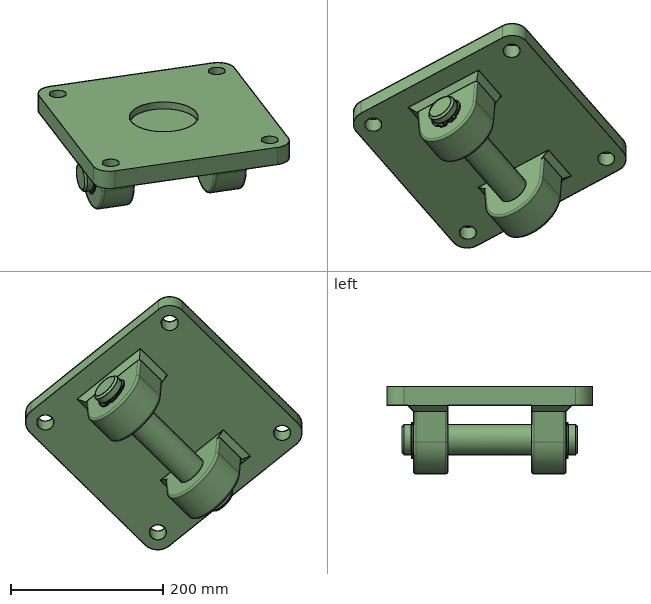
import cadquery as cq
import math

PLATE_SIDE = 270
PLATE_THICKNESS = 25.0
CORNER_RADIUS = 22.5
BOLT_HOLE_DIAMETER = 22.1
BOLT_HOLE_PITCH = 220.0
RECESS_DIAMETER = 90.0
RECESS_DEPTH = 10.0

PIN_DROP = 44.8
LUG_RADIUS = 45.0
LUG_TOP_HALF_WIDTH = 48.0
LUG_SPAN = 200.0
LUG_THICKNESS = 45.0
LUG_FILLET = 3.0
WELD_LEG = 7.8

PIN_DIAMETER = 40.0
PIN_LENGTH = 230.5
PIN_CHAMFER = 3.0

RING_CLEARANCE = 0.8
RING_THICKNESS = 1.75
RING_OUTER_DIAMETER = 44.3
GROOVE_DIAMETER = 37.5
GROOVE_WIDTH = 2.5
EAR_OUTER_RADIUS = 24.5
EAR_HALF_ANGLE = 31
GAP_HALF_ANGLE = 7
GAP_DIRECTION = -100
EAR_HOLE_DIAMETER = 2.2
EAR_HOLE_RADIUS = 21.5
EAR_HOLE_ANGLE = 18.5

LUG_OUTER_Y = LUG_SPAN / 2
LUG_INNER_Y = LUG_OUTER_Y - LUG_THICKNESS
RING_INNER_Y = LUG_OUTER_Y + RING_CLEARANCE
SIDES = (-1, 1)


def make_plate():
    """Square plate with rounded corners, four bolt holes and a round blind recess on top."""
    plate = (
        cq.Workplane("XY")
        .rect(PLATE_SIDE, PLATE_SIDE)
        .extrude(PLATE_THICKNESS)
        .edges("|Z")
        .fillet(CORNER_RADIUS)
    )
    plate = (
        plate.faces(">Z")
        .workplane()
        .rect(BOLT_HOLE_PITCH, BOLT_HOLE_PITCH, forConstruction=True)
        .vertices()
        .hole(BOLT_HOLE_DIAMETER)
    )
    return plate.faces(">Z").workplane().hole(RECESS_DIAMETER, RECESS_DEPTH)


def lug_tangent_angle():
    """Angle below horizontal at which the lug's tapered flank meets its round end."""
    top_corner_distance = math.hypot(LUG_TOP_HALF_WIDTH, PIN_DROP)
    top_corner_elevation = math.atan2(PIN_DROP, LUG_TOP_HALF_WIDTH)
    return math.acos(LUG_RADIUS / top_corner_distance) - top_corner_elevation


def make_lug():
    """Lug on the +Y side: tapered flanks tangent to a round end, with rounded rims."""
    angle = lug_tangent_angle()
    tangent_x = LUG_RADIUS * math.cos(angle)
    tangent_z = -PIN_DROP - LUG_RADIUS * math.sin(angle)
    lug = (
        cq.Workplane("XZ", origin=(0, LUG_OUTER_Y, 0))
        .moveTo(-LUG_TOP_HALF_WIDTH, 0)
        .lineTo(-tangent_x, tangent_z)
        .threePointArc((0, -PIN_DROP - LUG_RADIUS), (tangent_x, tangent_z))
        .lineTo(LUG_TOP_HALF_WIDTH, 0)
        .close()
        .extrude(LUG_THICKNESS)
    )
    rims = lug.faces("<Y or >Y").edges("not >Z")
    return rims.fillet(LUG_FILLET)


def make_weld():
    """Sloping weld bead round the outer face and both flanks of the +Y lug.

    The slopes leave the lug's faces one leg below the plate and run on inside the lug as far as
    the rounded rims, so that they also close off the tops of those rims.
    """
    height = WELD_LEG + LUG_FILLET
    flank_taper = (LUG_TOP_HALF_WIDTH - LUG_RADIUS) / PIN_DROP
    upper_half_width = LUG_TOP_HALF_WIDTH + WELD_LEG
    lower_half_width = upper_half_width - (1 + flank_taper) * height
    upper_depth = LUG_THICKNESS + WELD_LEG
    lower_depth = upper_depth - height
    return (
        cq.Workplane("XY", origin=(0, LUG_INNER_Y, 0))
        .center(0, upper_depth / 2)
        .rect(2 * upper_half_width, upper_depth)
        .workplane(offset=-height)
        .center(0, -height / 2)
        .rect(2 * lower_half_width, lower_depth)
        .loft(ruled=True)
    )


def y_cylinder(diameter, start_y, length):
    """Cylinder on the pin axis, from start_y towards +Y."""
    return cq.Workplane("XZ", origin=(0, start_y, -PIN_DROP)).circle(diameter / 2).extrude(-length)


def make_bracket():
    """Plate with both welded lugs, bored for the pin."""
    lug = make_lug().union(make_weld())
    bracket = make_plate().union(lug).union(lug.mirror("XZ"))
    return bracket.cut(y_cylinder(PIN_DIAMETER, -LUG_OUTER_Y, LUG_SPAN))


def make_pin():
    """Pin with chamfered ends and a groove for each retaining ring."""
    pin = y_cylinder(PIN_DIAMETER, -PIN_LENGTH / 2, PIN_LENGTH).faces("<Y or >Y").chamfer(PIN_CHAMFER)
    groove = y_cylinder(PIN_DIAMETER, RING_INNER_Y, GROOVE_WIDTH).cut(
        y_cylinder(GROOVE_DIAMETER, RING_INNER_Y, GROOVE_WIDTH)
    )
    return pin.cut(groove).cut(groove.mirror("XZ"))


def polar(radius, degrees):
    """Point in the ring's plane, measured from the gap direction."""
    angle = math.radians(GAP_DIRECTION + degrees)
    return radius * math.cos(angle), radius * math.sin(angle)


def make_ring(side):
    """Open retaining ring on the given side, with two drilled ears beside its gap."""
    inner_radius = GROOVE_DIAMETER / 2
    outer_radius = RING_OUTER_DIAMETER / 2
    start_y = RING_INNER_Y if side > 0 else -RING_INNER_Y - RING_THICKNESS
    center = (0, start_y, -PIN_DROP)
    ring = (
        cq.Workplane("XZ", origin=center)
        .moveTo(*polar(inner_radius, GAP_HALF_ANGLE))
        .lineTo(*polar(EAR_OUTER_RADIUS, GAP_HALF_ANGLE))
        .threePointArc(polar(EAR_OUTER_RADIUS, EAR_HOLE_ANGLE), polar(EAR_OUTER_RADIUS, EAR_HALF_ANGLE))
        .lineTo(*polar(outer_radius, EAR_HALF_ANGLE))
        .threePointArc(polar(outer_radius, 180), polar(outer_radius, -EAR_HALF_ANGLE))
        .lineTo(*polar(EAR_OUTER_RADIUS, -EAR_HALF_ANGLE))
        .threePointArc(polar(EAR_OUTER_RADIUS, -EAR_HOLE_ANGLE), polar(EAR_OUTER_RADIUS, -GAP_HALF_ANGLE))
        .lineTo(*polar(inner_radius, -GAP_HALF_ANGLE))
        .threePointArc(polar(inner_radius, 180), polar(inner_radius, GAP_HALF_ANGLE))
        .close()
        .extrude(-RING_THICKNESS)
    )
    ear_holes = [polar(EAR_HOLE_RADIUS, EAR_HOLE_ANGLE), polar(EAR_HOLE_RADIUS, -EAR_HOLE_ANGLE)]
    drills = (
        cq.Workplane("XZ", origin=center)
        .pushPoints(ear_holes)
        .circle(EAR_HOLE_DIAMETER / 2)
        .extrude(-RING_THICKNESS)
    )
    return ring.cut(drills)


bracket = make_bracket()
pin = make_pin()
rings = [make_ring(side) for side in SIDES]

result = cq.Compound.makeCompound([bracket.val(), pin.val(), *(ring.val() for ring in rings)])